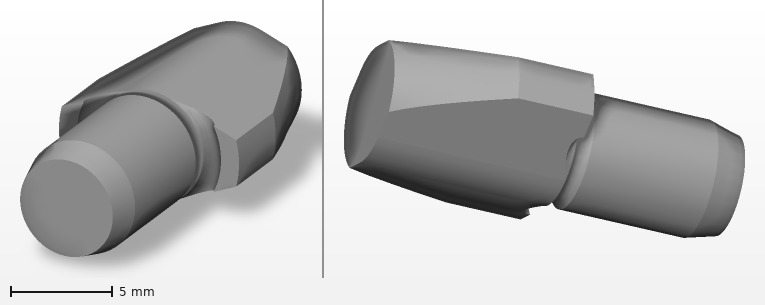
import cadquery as cq
import math


head_length = 10.0
wing_radius = 5.0
core_radius = 3.0
flank_angle = 22.5
wing_straight_length = 4.0
taper_angle = 15.0

groove_radius = 0.5
groove_centre_radius = core_radius + groove_radius

shank_length = 9.0
neck_length = 0.8
neck_radius = core_radius - neck_length
tip_length = 1.6
tip_radius = core_radius - tip_length * math.tan(math.radians(taper_angle))


def revolve_about_y(profile):
    """Turn a closed (radius, Y) profile fully around the Y axis."""
    return profile.close().revolve(360, (0, 0, 0), (0, 1, 0))


def make_head_section():
    """Extrude the crown arcs, tangent flanks and wing ends along the head."""
    angle = math.radians(flank_angle)
    crown_x = core_radius * math.sin(angle)
    crown_z = core_radius * math.cos(angle)
    flank_length = math.sqrt(wing_radius**2 - core_radius**2)
    tip_x = crown_x + flank_length * math.cos(angle)
    tip_z = crown_z - flank_length * math.sin(angle)
    return (
        cq.Workplane("XZ")
        .moveTo(-crown_x, crown_z)
        .threePointArc((0, core_radius), (crown_x, crown_z))
        .lineTo(tip_x, tip_z)
        .threePointArc((wing_radius, 0), (tip_x, -tip_z))
        .lineTo(crown_x, -crown_z)
        .threePointArc((0, -core_radius), (-crown_x, -crown_z))
        .lineTo(-tip_x, -tip_z)
        .threePointArc((-wing_radius, 0), (-tip_x, tip_z))
        .close()
        .extrude(-head_length)
    )


def make_taper_cutter():
    """Ring outside the cone that narrows the wings towards the head end."""
    taper_length = head_length - wing_straight_length
    end_radius = wing_radius - taper_length * math.tan(math.radians(taper_angle))
    return revolve_about_y(
        cq.Workplane("XY")
        .moveTo(wing_radius, wing_straight_length)
        .lineTo(end_radius, head_length)
        .lineTo(2 * wing_radius, head_length)
        .lineTo(2 * wing_radius, wing_straight_length)
    )


def make_groove_cutter():
    """Half-round ring sunk into the shoulder face."""
    return revolve_about_y(
        cq.Workplane("XY")
        .moveTo(groove_centre_radius - groove_radius, 0)
        .threePointArc(
            (groove_centre_radius, groove_radius),
            (groove_centre_radius + groove_radius, 0),
        )
    )


def make_shank():
    """Round shank with a conical neck and a tapered tip."""
    return revolve_about_y(
        cq.Workplane("XY")
        .moveTo(0, 0)
        .lineTo(neck_radius, 0)
        .lineTo(core_radius, -neck_length)
        .lineTo(core_radius, tip_length - shank_length)
        .lineTo(tip_radius, -shank_length)
        .lineTo(0, -shank_length)
    )


head = make_head_section().cut(make_taper_cutter()).cut(make_groove_cutter())
result = head.union(make_shank())